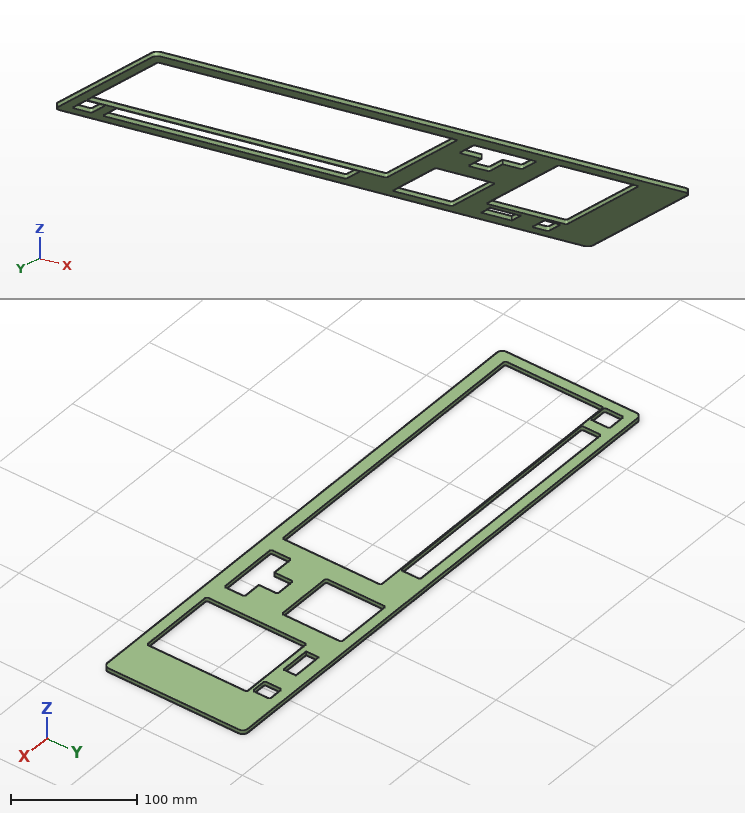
import cadquery as cq

LENGTH = 517.5
WIDTH = 140.0
THICKNESS = 4.0
PLATE_CORNER_RADIUS = 5.0

WINDOW_CORNER_RADIUS = 1.7
LEFT_EDGE = 10.5
TOP_ROW_TOP = 130.5
TOP_ROW_BOTTOM = 111.5
MAIN_TOP = 110.0
CLUSTER_RIGHT = 378.0
NUMPAD_RIGHT = 474.5

ARROW_LEFT = 317.0
ARROW_BOTTOM = 13.5
ARROW_SHOULDER = 33.5
ARROW_TOP = 52.5
STEM_LEFT = 339.0
STEM_RIGHT = 359.0

WINDOWS = {
    "main keys": (LEFT_EDGE, 12.0, 300.0, MAIN_TOP),
    "escape key": (LEFT_EDGE, TOP_ROW_BOTTOM, 29.0, TOP_ROW_TOP),
    "function keys": (40.0, TOP_ROW_BOTTOM, 275.5, TOP_ROW_TOP),
    "navigation keys": (320.5, 71.0, CLUSTER_RIGHT, TOP_ROW_TOP),
    "number pad": (397.0, 10.5, NUMPAD_RIGHT, MAIN_TOP),
    "knob": (455.5, 113.5, 471.0, TOP_ROW_TOP),
}
INDICATOR_WINDOW = (404.5, 116.0, 434.0, 128.5)


def block(left, bottom, right, top):
    """Box through the plate thickness between the given edges."""
    size = (right - left, top - bottom, THICKNESS)
    return cq.Workplane("XY").box(*size, centered=False).translate((left, bottom, 0))


def rounded_block(edges, radius):
    """Block with rounded vertical corners."""
    return block(*edges).edges("|Z").fillet(radius)


def arrow_window():
    """Inverted T with rounded outer corners and sharp inner corners."""
    base = (ARROW_LEFT, ARROW_BOTTOM, CLUSTER_RIGHT, ARROW_SHOULDER)
    stem = (STEM_LEFT, ARROW_SHOULDER, STEM_RIGHT, ARROW_TOP)
    rounded_stem = block(*stem).edges("|Z and >Y").fillet(WINDOW_CORNER_RADIUS)
    return rounded_block(base, WINDOW_CORNER_RADIUS).union(rounded_stem)


result = rounded_block((0, 0, LENGTH, WIDTH), PLATE_CORNER_RADIUS)
for window_edges in WINDOWS.values():
    result = result.cut(rounded_block(window_edges, WINDOW_CORNER_RADIUS))
result = result.cut(block(*INDICATOR_WINDOW))
result = result.cut(arrow_window())